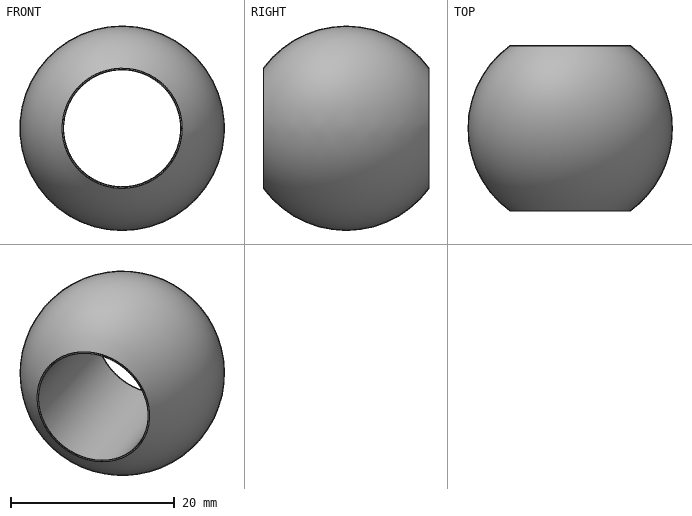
import cadquery as cq
import math

ball_diameter = 25.0
width_across_flats = 20.22
bore_diameter = 14.3

ball_radius = ball_diameter / 2
bore_radius = bore_diameter / 2
half_width = width_across_flats / 2
flat_radius = math.sqrt(ball_radius**2 - half_width**2)

section = (
    cq.Workplane("XY")
    .moveTo(bore_radius, -half_width)
    .lineTo(flat_radius, -half_width)
    .threePointArc((ball_radius, 0), (flat_radius, half_width))
    .lineTo(bore_radius, half_width)
    .close()
)

result = section.revolve(360, (0, 0, 0), (0, 1, 0))